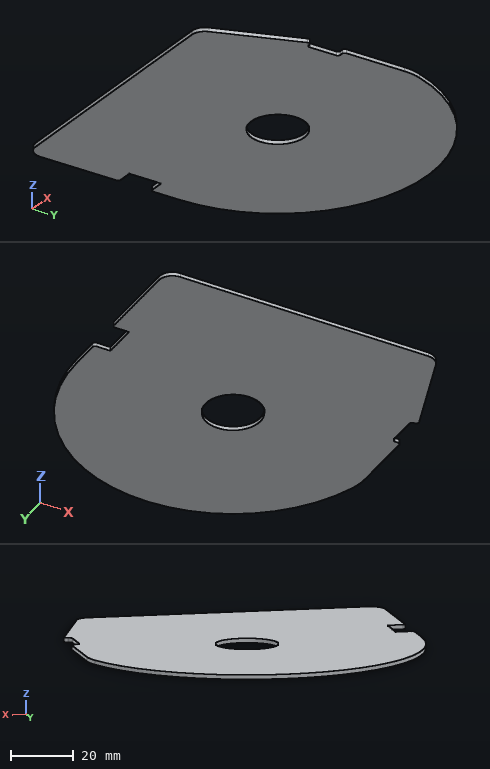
import cadquery as cq
import math

thickness = 1.5
hole_diameter = 20.0
head_radius = 57.0
left_x = -head_radius
right_x = 55.0
bottom_y = -58.0
shoulder_radius = 20.0
bottom_corner_radius = 5.0

notch_centre_y = -17.0
notch_height = 12.0
left_notch_depth = 6.0
right_notch_depth = 3.0
notch_corner_radius = 1.0

slant_angle = math.radians(20.0)
slant_bottom_x = 42.0

notch_top_y = notch_centre_y + notch_height / 2
notch_bottom_y = notch_centre_y - notch_height / 2
left_notch_x = left_x + left_notch_depth
right_notch_x = right_x - right_notch_depth
slant_top_x = slant_bottom_x + (notch_bottom_y - bottom_y) * math.tan(slant_angle)
arc_end_y = math.sqrt(head_radius**2 - right_x**2)


def make_blank():
    """Plate with the notched outline, all corners still sharp."""
    return (
        cq.Workplane("XY")
        .moveTo(left_x, 0)
        .threePointArc((0, head_radius), (right_x, arc_end_y))
        .lineTo(right_x, notch_top_y)
        .lineTo(right_notch_x, notch_top_y)
        .lineTo(right_notch_x, notch_bottom_y)
        .lineTo(slant_top_x, notch_bottom_y)
        .lineTo(slant_bottom_x, bottom_y)
        .lineTo(left_x, bottom_y)
        .lineTo(left_x, notch_bottom_y)
        .lineTo(left_notch_x, notch_bottom_y)
        .lineTo(left_notch_x, notch_top_y)
        .lineTo(left_x, notch_top_y)
        .close()
        .extrude(thickness)
    )


def round_corners(body, corners, radius):
    """Fillet the upright edges that stand at the given (x, y) corners."""
    for x, y in corners:
        nearest = cq.selectors.NearestToPointSelector((x, y, thickness / 2))
        body = body.edges("|Z").edges(nearest).fillet(radius)
    return body


def cut_hole(body):
    """Cut the round hole through the plate at the origin."""
    hole = cq.Workplane("XY").circle(hole_diameter / 2).extrude(thickness)
    return body.cut(hole)


shoulder_corners = [(right_x, arc_end_y)]
bottom_corners = [(left_x, bottom_y), (slant_bottom_x, bottom_y)]
notch_corners = [
    (left_x, notch_top_y),
    (left_x, notch_bottom_y),
    (right_x, notch_top_y),
    (right_notch_x, notch_top_y),
    (right_notch_x, notch_bottom_y),
    (slant_top_x, notch_bottom_y),
]

plate = make_blank()
plate = round_corners(plate, shoulder_corners, shoulder_radius)
plate = round_corners(plate, bottom_corners, bottom_corner_radius)
plate = round_corners(plate, notch_corners, notch_corner_radius)
result = cut_hole(plate)